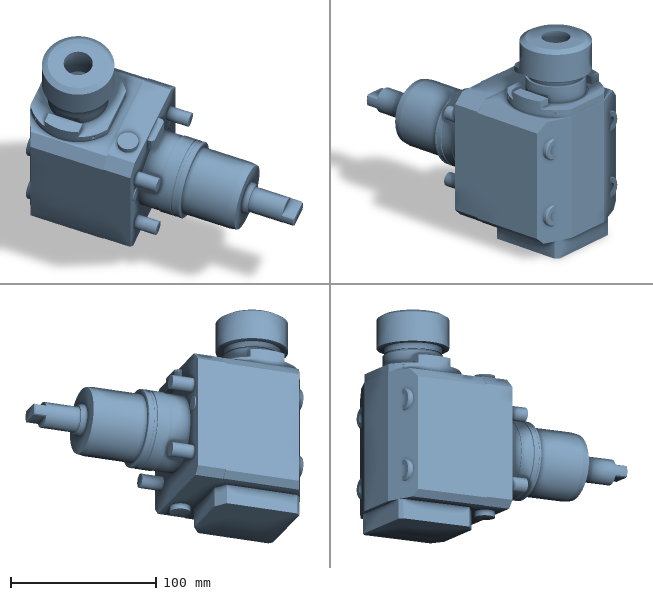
import cadquery as cq
import math


body_width = 84.0
body_left = -28.8
body_right = 35.0
body_top = 46.6
body_bottom = -44.7
top_chamfer = 7.1
bottom_chamfer = 4.6
nose_half_width = 17.1
taper_length = 10.1

plate_right = 55.3
plate_top = body_top + 0.7
plate_top_chamfer_y = 8.2
plate_top_chamfer_z = 7.1
plate_bottom_chamfer = 5.2

overall_height = 151.16
spindle_top = 92.65
base_bottom = spindle_top - overall_height
base_left = -25.2
base_half_width = 28.2
base_front_chamfer = 2.5
base_rear_chamfer_x = 6.0
base_rear_chamfer_angle = 55.0
base_rear_chamfer_y = base_rear_chamfer_x * math.tan(math.radians(base_rear_chamfer_angle))

flange_radius = 33.4
flange_flat_x = 28.5
flange_top = 52.3
lug_top = 58.1
lug_width = 25.0
lug_inner_y = 23.4
clearance_radius = 22.5
clearance_depth = 0.5
notch_angle = 50.0
notch_width = 2.0
notch_depth = 1.0
notch_height = 2.6
notch_center_z = 49.9

neck_radius = 21.0
neck_top = 64.0
neck_flat_y = 19.0
neck_flat_top = 57.7
groove_radius = 19.0
groove_top = 65.6
collar_radius = 20.0
nut_radius = 25.0
nut_bottom = 69.7
nut_chamfer_radial = 4.0
nut_chamfer_angle = 30.0
nut_chamfer_height = nut_chamfer_radial * math.tan(math.radians(nut_chamfer_angle))
nut_bore_radius = 10.0

root_end = 70.3
root_radius = 27.0
pilot_radius = 27.5
pilot_end = 86.0
pilot_chamfer = 0.4
relief_start = 79.4
relief_end = 80.3
relief_radius = 26.7
seal_start = 81.9
seal_end = 84.2
seal_radius = 27.2
barrel_radius = 24.0
barrel_end = 125.1
barrel_taper_start = 120.2
barrel_tip_radius = 23.2
hub_radius = 11.2
hub_end = 129.3
hub_taper_start = 127.0
hub_tip_radius = 10.2
overall_length = 192.0
shaft_radius = 9.0
shaft_end = body_left + overall_length
shaft_end_chamfer = 0.6
tang_start = 154.2
tang_thickness = 8.2
tang_edge_chamfer_y = 1.8
tang_edge_chamfer_z = 0.9

screw_y = 30.0
screw_z = 25.0
bolt_radius = 5.0
bolt_end = 71.1
head_radius = 8.0
head_face_x = -23.9
head_length = 8.0
head_chamfer = 0.8
socket_radius = 4.0
plug_radius = 7.2
plug_x = 45.0
plug_y = -20.5
plug_height = 4.0
stud_radius = 5.0
stud_y = 33.0
stud_z = 10.4
stud_height = 0.7
key_half_width = 10.2
key_end = 60.0
key_bottom = 34.4
key_top = 44.4
key_chamfer = 1.7


def x_cylinder(x_start, x_end, radius, y=0.0, z=0.0):
    """Solid cylinder along +X centered on (y, z)."""
    plane = cq.Workplane("YZ", origin=(x_start, y, z))
    return plane.circle(radius).extrude(x_end - x_start)


def z_cylinder(z_start, z_end, radius, x=0.0, y=0.0):
    """Solid cylinder along +Z centered on (x, y)."""
    plane = cq.Workplane("XY", origin=(x, y, z_start))
    return plane.circle(radius).extrude(z_end - z_start)


def box(x_range, y_range, z_range):
    """Box spanning the three given (low, high) ranges."""
    sizes = [high - low for low, high in (x_range, y_range, z_range)]
    corner = (x_range[0], y_range[0], z_range[0])
    return cq.Workplane("XY").box(*sizes, centered=False).translate(corner)


def mirrored_prism(plane, half_outline, distance):
    """Extrude an outline given by its positive half and mirrored about the second axis."""
    other_half = [(-a, b) for a, b in reversed(half_outline)]
    return plane.polyline(half_outline + other_half).close().extrude(distance)


def make_body():
    half_width = body_width / 2
    section = [
        (half_width - bottom_chamfer, body_bottom),
        (half_width, body_bottom + bottom_chamfer),
        (half_width, body_top - top_chamfer),
        (half_width - top_chamfer, body_top),
    ]
    block = mirrored_prism(
        cq.Workplane("YZ", origin=(body_left, 0, 0)), section, body_right - body_left
    )
    plan = [
        (body_left, -nose_half_width),
        (body_left + taper_length, -half_width),
        (body_right, -half_width),
        (body_right, half_width),
        (body_left + taper_length, half_width),
        (body_left, nose_half_width),
    ]
    envelope = cq.Workplane("XY", origin=(0, 0, body_bottom)).polyline(plan).close()
    return block.intersect(envelope.extrude(body_top - body_bottom))


def make_plate():
    half_width = body_width / 2
    section = [
        (half_width - plate_bottom_chamfer, body_bottom),
        (half_width, body_bottom + plate_bottom_chamfer),
        (half_width, plate_top - plate_top_chamfer_z),
        (half_width - plate_top_chamfer_y, plate_top),
    ]
    plane = cq.Workplane("YZ", origin=(body_right, 0, 0))
    return mirrored_prism(plane, section, plate_right - body_right)


def make_base():
    front_y = base_half_width - base_front_chamfer
    rear_y = base_half_width - base_rear_chamfer_y
    plan = [
        (base_left, -front_y),
        (base_left + base_front_chamfer, -base_half_width),
        (body_right - base_rear_chamfer_x, -base_half_width),
        (body_right, -rear_y),
        (body_right, rear_y),
        (body_right - base_rear_chamfer_x, base_half_width),
        (base_left + base_front_chamfer, base_half_width),
        (base_left, front_y),
    ]
    plane = cq.Workplane("XY", origin=(0, 0, base_bottom))
    return plane.polyline(plan).close().extrude(body_bottom - base_bottom)


def make_flange():
    flange = z_cylinder(body_top, lug_top, flange_radius)
    half_lug = lug_width / 2
    reach = 2 * flange_radius
    slab = box((-flange_flat_x, flange_flat_x), (-reach, reach), (body_top, flange_top))
    for side in (-1, 1):
        near, far = sorted((side * lug_inner_y, side * reach))
        slab = slab.union(box((-half_lug, half_lug), (near, far), (body_top, lug_top)))
    flange = flange.intersect(slab)
    flange = flange.cut(z_cylinder(flange_top - clearance_depth, flange_top, clearance_radius))
    notch = cq.Workplane("XY").box(2 * notch_depth, notch_width, notch_height)
    notch = notch.translate((flange_radius, 0, notch_center_z))
    for angle in (notch_angle, 180 - notch_angle, 180 + notch_angle, -notch_angle):
        flange = flange.cut(notch.rotate((0, 0, 0), (0, 0, 1), angle))
    return flange


def make_spindle():
    profile = [
        (0, body_top),
        (neck_radius, body_top),
        (neck_radius, neck_top),
        (groove_radius, neck_top),
        (groove_radius, groove_top),
        (collar_radius, groove_top),
        (collar_radius, nut_bottom),
        (nut_radius, nut_bottom),
        (nut_radius, spindle_top - nut_chamfer_height),
        (nut_radius - nut_chamfer_radial, spindle_top),
        (0, spindle_top),
    ]
    spindle = cq.Workplane("XZ").polyline(profile).close().revolve(360, (0, 0), (0, 1))
    spindle = spindle.cut(z_cylinder(nut_bottom, spindle_top, nut_bore_radius))
    flat_z = (flange_top - clearance_depth, neck_flat_top)
    for side in (-1, 1):
        near, far = sorted((side * neck_flat_y, side * neck_radius))
        spindle = spindle.cut(box((-neck_radius, neck_radius), (near, far), flat_z))
    return spindle


def make_shank():
    profile = [
        (plate_right, 0),
        (plate_right, root_radius),
        (root_end, root_radius),
        (root_end, pilot_radius),
        (relief_start, pilot_radius),
        (relief_start, relief_radius),
        (relief_end, relief_radius),
        (relief_end, pilot_radius),
        (seal_start, pilot_radius),
        (seal_start, seal_radius),
        (seal_end, seal_radius),
        (seal_end, pilot_radius),
        (pilot_end - pilot_chamfer, pilot_radius),
        (pilot_end, pilot_radius - pilot_chamfer),
        (pilot_end, barrel_radius),
        (barrel_taper_start, barrel_radius),
        (barrel_end, barrel_tip_radius),
        (barrel_end, hub_radius),
        (hub_taper_start, hub_radius),
        (hub_end, hub_tip_radius),
        (hub_end, shaft_radius),
        (shaft_end - shaft_end_chamfer, shaft_radius),
        (shaft_end, shaft_radius - shaft_end_chamfer),
        (shaft_end, 0),
    ]
    shank = cq.Workplane("XY").polyline(profile).close().revolve(360, (0, 0), (1, 0))
    half_thickness = tang_thickness / 2
    tang_section = [
        (shaft_radius - tang_edge_chamfer_y, -half_thickness),
        (shaft_radius, tang_edge_chamfer_z - half_thickness),
        (shaft_radius, half_thickness - tang_edge_chamfer_z),
        (shaft_radius - tang_edge_chamfer_y, half_thickness),
    ]
    tang_plane = cq.Workplane("YZ", origin=(tang_start, 0, 0))
    tang = mirrored_prism(tang_plane, tang_section, shaft_end - tang_start)
    waste = x_cylinder(tang_start, shaft_end, shaft_radius).cut(tang)
    return shank.cut(waste)


def make_screw_head(y, z):
    """Socket head sunk in the tapered front, with only its outer side standing proud."""
    head = x_cylinder(head_face_x, head_face_x + head_length, head_radius, y, z)
    head = head.faces("<X").edges().chamfer(head_chamfer)
    return head.cut(x_cylinder(head_face_x, head_face_x + head_length, socket_radius, y, z))


def make_key():
    key = box((plate_right, key_end), (-key_half_width, key_half_width), (key_bottom, key_top))
    return key.faces(">X").edges("|Z").chamfer(key_chamfer)


result = make_body()
for component in (make_plate(), make_base(), make_flange(), make_spindle(), make_shank(), make_key()):
    result = result.union(component)

stud_end = plate_right + stud_height
for side_y in (-1, 1):
    for side_z in (-1, 1):
        y = side_y * screw_y
        z = side_z * screw_z
        result = result.union(make_screw_head(y, z))
        result = result.union(x_cylinder(plate_right, bolt_end, bolt_radius, y, z))
    result = result.union(x_cylinder(plate_right, stud_end, stud_radius, side_y * stud_y, stud_z))

for z_start in (plate_top, body_bottom - plug_height):
    result = result.union(z_cylinder(z_start, z_start + plug_height, plug_radius, plug_x, plug_y))